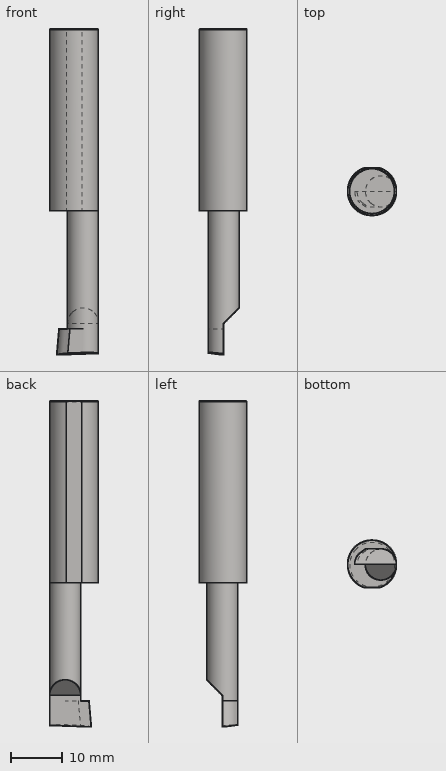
import cadquery as cq
import math

overall_length = 63.49

shank_diameter = 9.525
shank_radius = shank_diameter / 2
shank_length = 35.45
shank_width_y = 9.27
shank_flat_y = shank_width_y - shank_radius
chamfer_radial = 0.4
chamfer_axial = 0.2

neck_diameter = 6.08
neck_radius = neck_diameter / 2
neck_x = shank_radius - neck_radius
shank_bottom_z = overall_length - shank_length

rake_y = 0.0
ramp_foot_z = 6.15

head_height = 5.08
head_tilt = math.radians(5)
tip_x = -3.38
heel_x, heel_y = -2.2, -2.36
flank_radius = 3.35
flat_start_x = -1.24

end_slope_x = math.radians(2)
end_slope_y = math.radians(6)


def make_shank():
    shank = (
        cq.Workplane("XY")
        .workplane(offset=shank_bottom_z)
        .circle(shank_radius)
        .extrude(shank_length)
        .faces(">Z")
        .chamfer(chamfer_axial, chamfer_radial)
    )
    flat_cutter = (
        cq.Workplane("XY")
        .box(shank_diameter, shank_diameter, overall_length, centered=(True, False, False))
        .translate((0, shank_flat_y, 0))
    )
    return shank.cut(flat_cutter)


def make_neck():
    neck = cq.Workplane("XY").center(neck_x, 0).circle(neck_radius).extrude(shank_bottom_z)
    cut_depth = neck_diameter
    rake_cutter = (
        cq.Workplane("YZ")
        .moveTo(rake_y, 0)
        .lineTo(rake_y, ramp_foot_z)
        .lineTo(rake_y + cut_depth, ramp_foot_z + cut_depth)
        .lineTo(rake_y + cut_depth, 0)
        .close()
        .extrude(shank_diameter, both=True)
    )
    return neck.cut(rake_cutter)


def head_outline(workplane, shift):
    """Head section whose outer side is moved by shift along X."""
    middle_angle = (math.atan2(heel_y, heel_x) - math.pi) / 2
    middle_x = flank_radius * math.cos(middle_angle)
    middle_y = flank_radius * math.sin(middle_angle)
    return (
        workplane.moveTo(neck_x, rake_y)
        .lineTo(tip_x + shift, rake_y)
        .threePointArc((middle_x + shift, middle_y), (heel_x + shift, heel_y))
        .lineTo(flat_start_x + shift, -neck_radius)
        .lineTo(neck_x, -neck_radius)
        .close()
    )


def make_head():
    bottom = head_outline(cq.Workplane("XY"), 0)
    top_shift = head_height * math.tan(head_tilt)
    return head_outline(bottom.workplane(offset=head_height), top_shift).loft(ruled=True)


def make_end_cutter():
    end_plane = cq.Plane(
        origin=(tip_x, rake_y, 0),
        xDir=(1, 0, math.tan(end_slope_x)),
        normal=(-math.tan(end_slope_x), math.tan(end_slope_y), 1),
    )
    cutter_size = 4 * shank_diameter
    return cq.Workplane(end_plane).rect(cutter_size, cutter_size).extrude(-shank_diameter)


result = make_shank().union(make_neck()).union(make_head()).cut(make_end_cutter())